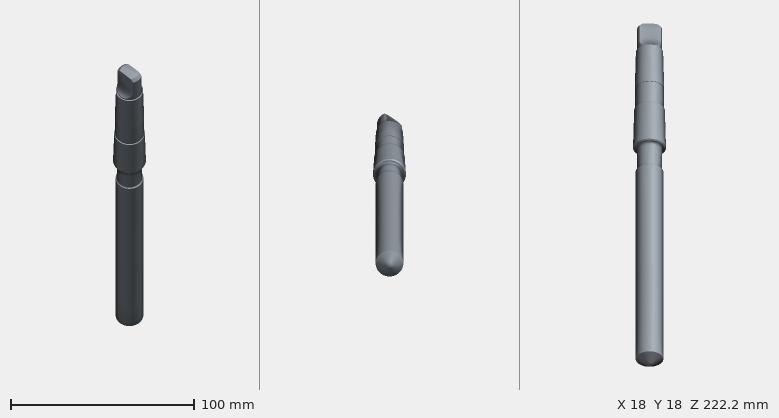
import cadquery as cq
import math


total_length = 222.2

drill_diameter = 15.1
point_angle = 118.0
cutting_end_top = 61.1

drill_radius = drill_diameter / 2
body_top = 127.1
body_fillet = 0.7
neck_radius = 13.5 / 2

collar_radius = 18.0 / 2
collar_bottom = 142.2
collar_chamfer = 0.7
collar_fillet = 1.3
taper_ratio = 1 / 20
relief_bottom = 167.4
relief_top = 181.4
relief_radius = 15.5 / 2

tang_radius = 13.5 / 2
tang_bottom = 205.4
tang_thickness = 6.7
tang_flat_bottom = 211.5
tang_root_radius = 6.2
tang_chamfer_width = 1.5
tang_chamfer_height = 1.5
tang_crown = 0.2
tang_angle = -8.0


def taper_radius(height):
    """Radius of the shank cone at a given height."""
    return collar_radius - (height - collar_bottom - collar_chamfer) * taper_ratio / 2


def make_cutting_end():
    """Cylindrical drill end with a conical point."""
    point_height = drill_radius / math.tan(math.radians(point_angle / 2))
    return (
        cq.Workplane("XZ")
        .polyline([
            (0, 0),
            (drill_radius, point_height),
            (drill_radius, cutting_end_top),
            (0, cutting_end_top),
        ])
        .close()
        .revolve(360, (0, 0), (0, 1))
    )


def make_tang_cutter():
    """Cutter for the flat on the +Y side of the tang, with a rounded root."""
    flat_offset = tang_thickness / 2
    arc_center = flat_offset + tang_root_radius
    arc_reach = tang_root_radius * math.sqrt(0.5)
    return (
        cq.Workplane("YZ")
        .moveTo(flat_offset, total_length)
        .lineTo(flat_offset, tang_flat_bottom)
        .threePointArc(
            (arc_center - arc_reach, tang_flat_bottom - arc_reach),
            (arc_center, tang_flat_bottom - tang_root_radius),
        )
        .lineTo(arc_center, total_length)
        .close()
        .extrude(collar_radius, both=True)
    )


def make_shank():
    """Plain body, neck, tapered shank and flattened tang."""
    tang_end_radius = tang_radius - tang_chamfer_width
    tang_end_edge = total_length - tang_crown
    crown_radius = (tang_end_radius**2 + tang_crown**2) / (2 * tang_crown)
    crown_center = total_length - crown_radius
    crown_mid_radius = tang_end_radius / 2
    crown_mid_height = crown_center + math.sqrt(crown_radius**2 - crown_mid_radius**2)
    fillet_arc = 1 - math.sqrt(0.5)
    shank = (
        cq.Workplane("XZ")
        .moveTo(0, cutting_end_top)
        .lineTo(drill_radius, cutting_end_top)
        .lineTo(drill_radius, body_top)
        .lineTo(neck_radius + body_fillet, body_top)
        .threePointArc(
            (neck_radius + body_fillet * fillet_arc, body_top + body_fillet * fillet_arc),
            (neck_radius, body_top + body_fillet),
        )
        .lineTo(neck_radius, collar_bottom - collar_fillet)
        .threePointArc(
            (neck_radius + collar_fillet * fillet_arc, collar_bottom - collar_fillet * fillet_arc),
            (neck_radius + collar_fillet, collar_bottom),
        )
        .lineTo(collar_radius - collar_chamfer, collar_bottom)
        .lineTo(collar_radius, collar_bottom + collar_chamfer)
        .lineTo(taper_radius(relief_bottom), relief_bottom)
        .lineTo(relief_radius, relief_bottom)
        .lineTo(relief_radius, relief_top)
        .lineTo(taper_radius(relief_top), relief_top)
        .lineTo(taper_radius(tang_bottom), tang_bottom)
        .lineTo(tang_radius, tang_bottom)
        .lineTo(tang_radius, tang_end_edge - tang_chamfer_height)
        .lineTo(tang_end_radius, tang_end_edge)
        .threePointArc((crown_mid_radius, crown_mid_height), (0, total_length))
        .close()
        .revolve(360, (0, 0), (0, 1))
    )
    cutter = make_tang_cutter()
    for side_angle in (0, 180):
        shank = shank.cut(cutter.rotate((0, 0, 0), (0, 0, 1), tang_angle + side_angle))
    return shank


cutting_end = make_cutting_end()
shank = make_shank()

result = cq.Compound.makeCompound([cutting_end.val(), shank.val()])